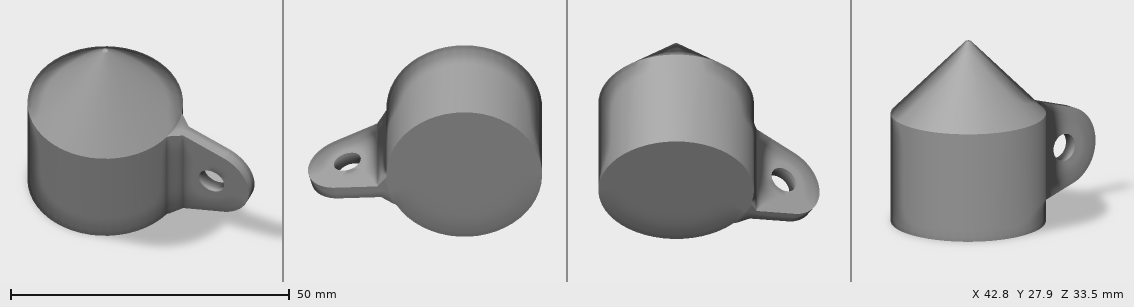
import cadquery as cq
import math

body_diameter = 27.9
body_radius = body_diameter / 2
body_height = 20.0
total_height = 33.45
cone_height = total_height - body_height
tip_radius = body_radius - cone_height

overall_length = 42.75
lug_reach = overall_length - body_radius
lug_thickness = 2.5
lug_end_radius = 7.35
lug_hole_diameter = 5.0
lug_center_x = lug_reach - lug_end_radius
arc_start_x = 24.05
lug_center_z = body_height / 2

root_end_x = 15.85
root_start_x = 12.82
root_half_width = 3.9


def make_body():
    """Revolve the cylinder and cone about the Z axis."""
    return (
        cq.Workplane("XZ")
        .polyline([
            (0, 0),
            (body_radius, 0),
            (body_radius, body_height),
            (tip_radius, total_height),
            (0, total_height),
        ])
        .close()
        .revolve(360, (0, 0, 0), (0, 1, 0))
    )


def lug_side_profile():
    """Tapered XZ outline with a round end."""
    arc_half_height = math.sqrt(lug_end_radius**2 - (arc_start_x - lug_center_x) ** 2)
    return (
        cq.Workplane("XZ")
        .moveTo(0, 0)
        .lineTo(body_radius, 0)
        .lineTo(arc_start_x, lug_center_z - arc_half_height)
        .threePointArc((lug_reach, lug_center_z), (arc_start_x, lug_center_z + arc_half_height))
        .lineTo(body_radius, body_height)
        .lineTo(0, body_height)
        .close()
        .extrude(body_radius, both=True)
    )


def lug_plan():
    """XY outline: a thin plate with a flared root."""
    half_plate = lug_thickness / 2
    return (
        cq.Workplane("XY")
        .polyline([
            (0, -root_half_width),
            (root_start_x, -root_half_width),
            (root_end_x, -half_plate),
            (lug_reach, -half_plate),
            (lug_reach, half_plate),
            (root_end_x, half_plate),
            (root_start_x, root_half_width),
            (0, root_half_width),
        ])
        .close()
        .extrude(body_height)
    )


def lug_hole():
    """Cross hole concentric with the round end of the lug."""
    return (
        cq.Workplane("XZ")
        .center(lug_center_x, lug_center_z)
        .circle(lug_hole_diameter / 2)
        .extrude(lug_thickness, both=True)
    )


lug = lug_side_profile().intersect(lug_plan()).cut(lug_hole())
result = make_body().union(lug)